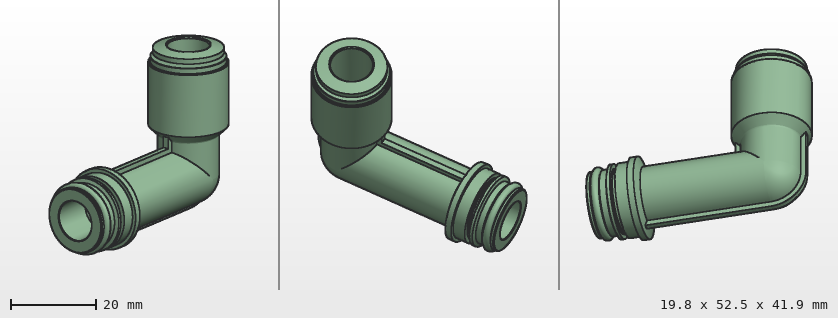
import cadquery as cq
import math


PIPE_RADIUS = 7.3
BORE_RADIUS = 6.7 / 2

WEB_THICKNESS = 1.5
WEB_REACH = 8.55
WEB_TOP = 12.0

SOCKET_TOP = 32.0
CAP_RIM_TOP = 31.3
CAP_UNDERSIDE = 30.05
COLLAR_TOP = 29.2
BODY_TOP = 27.85
BODY_BOTTOM = 12.25
CAP_RADIUS = 16.8 / 2
CAP_FLAT_RADIUS = 5.3
NECK_RADIUS = 11.4 / 2
NECK_CHAMFER = 0.3
COLLAR_RADIUS = 18.0 / 2
COLLAR_CHAMFER = 0.1
BODY_RADIUS = 19.0 / 2
BODY_CHAMFER = 0.2
SHOULDER_FILLET = 0.5
SOCKET_HOLE_RADIUS = 10.0 / 2
SOCKET_HOLE_FLOOR = 14.0

PLUG_END = 43.0
FLANGE_CONE_START = 30.0
FLANGE_START = 30.95
FLANGE_END = 32.55
SHANK_END = 35.7
RETAINER_START = 36.95
RETAINER_RIM_END = 37.75
RETAINER_END = 38.1
SEAL_GROOVE_START = 39.7
SEAL_GROOVE_END = 42.1
FLANGE_RADIUS = 19.75 / 2
SHANK_RADIUS = 17.9 / 2
CLIP_GROOVE_RADIUS = 15.05 / 2
CLIP_GROOVE_CHAMFER = 0.3
NOSE_RADIUS = 15.9 / 2
NOSE_CHAMFER = 0.25
SEAL_GROOVE_RADIUS = 13.8 / 2
SEAL_SECTION_RADIUS = 0.95
SEAL_OUTER_RADIUS = 17.5 / 2
PLUG_HOLE_RADIUS = 9.7 / 2
PLUG_HOLE_MOUTH_RADIUS = 10.0 / 2
PLUG_HOLE_DEPTH = 10.0
PLUG_HOLE_CONE_HALF_ANGLE = math.radians(30)


def turned(profile):
    """Revolve a closed (radius, height) outline around Z."""
    return cq.Workplane("XZ").polyline(profile).close().revolve(360, (0, 0, 0), (0, 1, 0))


def onto_plug_axis(shape):
    """Swing a shape built along +Z onto the -Y axis."""
    return shape.rotate((0, 0, 0), (1, 0, 0), 90)


def cylinder(radius, length):
    return cq.Workplane("XY").circle(radius).extrude(length)


def elbow(radius, socket_length, plug_length):
    """Two cylinders joined by a ball at the corner."""
    ball = cq.Workplane("XY").sphere(radius)
    plug_arm = onto_plug_axis(cylinder(radius, plug_length))
    return cylinder(radius, socket_length).union(plug_arm).union(ball)


def socket_head():
    """Body, collar and release cap of the socket arm, as one turned piece."""
    shoulder_bottom = BODY_BOTTOM - (BODY_RADIUS - PIPE_RADIUS)
    body = turned([
        (0, 0),
        (PIPE_RADIUS, 0),
        (PIPE_RADIUS, shoulder_bottom),
        (BODY_RADIUS, BODY_BOTTOM),
        (BODY_RADIUS, BODY_TOP - BODY_CHAMFER),
        (BODY_RADIUS - BODY_CHAMFER, BODY_TOP),
        (COLLAR_RADIUS, BODY_TOP),
        (COLLAR_RADIUS, COLLAR_TOP - COLLAR_CHAMFER),
        (COLLAR_RADIUS - COLLAR_CHAMFER, COLLAR_TOP),
        (NECK_RADIUS, COLLAR_TOP),
        (NECK_RADIUS, CAP_UNDERSIDE - NECK_CHAMFER),
        (NECK_RADIUS + NECK_CHAMFER, CAP_UNDERSIDE),
        (CAP_RADIUS, CAP_UNDERSIDE),
        (CAP_RADIUS, CAP_RIM_TOP),
        (CAP_FLAT_RADIUS, SOCKET_TOP),
        (0, SOCKET_TOP),
    ])
    shoulder_edge = cq.selectors.BoxSelector(
        (-BODY_RADIUS, -BODY_RADIUS, shoulder_bottom - SHOULDER_FILLET),
        (BODY_RADIUS, BODY_RADIUS, shoulder_bottom + SHOULDER_FILLET),
        boundingbox=True,
    )
    return body.edges(shoulder_edge).fillet(SHOULDER_FILLET)


def plug_head():
    """Flange, clip groove, retaining ring and grooved nose of the plug arm."""
    head = turned([
        (0, FLANGE_CONE_START),
        (PIPE_RADIUS, FLANGE_CONE_START),
        (FLANGE_RADIUS, FLANGE_START),
        (FLANGE_RADIUS, FLANGE_END),
        (SHANK_RADIUS, FLANGE_END),
        (SHANK_RADIUS, SHANK_END),
        (CLIP_GROOVE_RADIUS + CLIP_GROOVE_CHAMFER, SHANK_END),
        (CLIP_GROOVE_RADIUS, SHANK_END + CLIP_GROOVE_CHAMFER),
        (CLIP_GROOVE_RADIUS, RETAINER_START - CLIP_GROOVE_CHAMFER),
        (CLIP_GROOVE_RADIUS + CLIP_GROOVE_CHAMFER, RETAINER_START),
        (SHANK_RADIUS, RETAINER_START),
        (SHANK_RADIUS, RETAINER_RIM_END),
        (NOSE_RADIUS, RETAINER_END),
        (NOSE_RADIUS, SEAL_GROOVE_START),
        (SEAL_GROOVE_RADIUS, SEAL_GROOVE_START),
        (SEAL_GROOVE_RADIUS, SEAL_GROOVE_END),
        (NOSE_RADIUS, SEAL_GROOVE_END),
        (NOSE_RADIUS, PLUG_END - NOSE_CHAMFER),
        (NOSE_RADIUS - NOSE_CHAMFER, PLUG_END),
        (0, PLUG_END),
    ])
    return onto_plug_axis(head.union(seal_ring()))


def seal_ring():
    """O-ring seated in the middle of the seal groove."""
    ring_radius = SEAL_OUTER_RADIUS - SEAL_SECTION_RADIUS
    ring_position = (SEAL_GROOVE_START + SEAL_GROOVE_END) / 2
    section = cq.Workplane("XZ").center(-ring_radius, ring_position).circle(SEAL_SECTION_RADIUS)
    return section.revolve(360, (ring_radius, 0, 0), (ring_radius, 1, 0))


def web():
    """L-shaped web standing proud of the pipe, rounded around the outer corner."""
    arc_middle = WEB_REACH * math.sqrt(0.5)
    return (
        cq.Workplane("YZ")
        .moveTo(WEB_REACH, WEB_TOP)
        .lineTo(WEB_REACH, 0)
        .threePointArc((arc_middle, -arc_middle), (0, -WEB_REACH))
        .lineTo(-FLANGE_START, -WEB_REACH)
        .lineTo(-FLANGE_START, WEB_REACH)
        .lineTo(-WEB_REACH, WEB_REACH)
        .lineTo(-WEB_REACH, WEB_TOP)
        .close()
        .extrude(WEB_THICKNESS / 2, both=True)
    )


def socket_hole():
    """Flat-bottomed tube socket with a chamfered mouth."""
    mouth_chamfer = CAP_FLAT_RADIUS - SOCKET_HOLE_RADIUS
    return turned([
        (0, SOCKET_HOLE_FLOOR),
        (SOCKET_HOLE_RADIUS, SOCKET_HOLE_FLOOR),
        (SOCKET_HOLE_RADIUS, SOCKET_TOP - mouth_chamfer),
        (CAP_FLAT_RADIUS, SOCKET_TOP),
        (0, SOCKET_TOP),
    ])


def plug_hole():
    """Plug bore that narrows to the main bore through a steep cone."""
    cone_end = PLUG_END - PLUG_HOLE_DEPTH
    cone_length = (PLUG_HOLE_RADIUS - BORE_RADIUS) / math.tan(PLUG_HOLE_CONE_HALF_ANGLE)
    mouth_chamfer = PLUG_HOLE_MOUTH_RADIUS - PLUG_HOLE_RADIUS
    return onto_plug_axis(turned([
        (0, cone_end - cone_length),
        (BORE_RADIUS, cone_end - cone_length),
        (PLUG_HOLE_RADIUS, cone_end),
        (PLUG_HOLE_RADIUS, PLUG_END - mouth_chamfer),
        (PLUG_HOLE_MOUTH_RADIUS, PLUG_END),
        (0, PLUG_END),
    ]))


outside = elbow(PIPE_RADIUS, BODY_BOTTOM, FLANGE_START)
outside = outside.union(socket_head()).union(plug_head()).union(web())
passage = elbow(BORE_RADIUS, SOCKET_TOP, PLUG_END).union(socket_hole()).union(plug_hole())
result = outside.cut(passage)